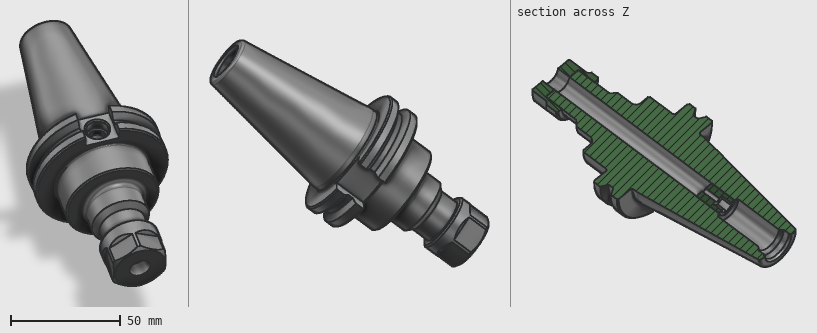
import cadquery as cq
import math


total_length = 144.5
gauge_diameter = 44.5
gauge_x = 68.2
taper_ratio = 7 / 24
taper_end_diameter = gauge_diameter - taper_ratio * gauge_x
taper_end_round = 1.2

flange_start = 71.5
flange_end = 87.3
flange_diameter = 63.4
flange_chamfer = 0.7
flange_fillet = 0.7

groove_root_diameter = 56.3
groove_root_width = 2.7
groove_center = 79.3
groove_half_angle = math.radians(30)

body_end = 103.1
body_chamfer = 0.7
shoulder_diameter = 27.5
shoulder_end = 114.8
shoulder_fillet = 3.2
neck_diameter = 22.0
neck_chamfer = (shoulder_diameter - neck_diameter) / 2

slot_width = 16.2
upper_slot_floor = 25.0
lower_slot_floor = 22.5
index_countersink_diameter = 12.0
index_hole_diameter = 10.5
index_pilot_diameter = 8.0
index_hole_depth = 5.3
index_pilot_depth = 8.7
drill_half_angle = math.radians(59)

bore_mouth_diameter = 17.8
bore_mouth_depth = 1.5
counterbore_diameter = 16.5
counterbore_end = 4.5
thread_diameter = 13.5
thread_start = 6.4
thread_end = 31.8
through_diameter = 10.0

nut_start = 126.7
nut_diameter = 28.0
nut_rear_chamfer = 0.9
nut_front_diameter = 24.0
nut_front_chamfer_length = 1.5
nut_recess_end = 137.2
nut_across_flats = 25.0
early_flat_start = 133.2
late_flat_start = 135.0
nut_flats = {
    -90: late_flat_start,
    -30: late_flat_start,
    30: late_flat_start,
    90: early_flat_start,
    150: early_flat_start,
    210: early_flat_start,
}

screw_length = 14.5
screw_chamfer = 0.22
screw_hole_diameter = 2.3
socket_across_flats = 5.9
socket_depth = 5.8

arc_share = 1 - math.sqrt(0.5)


def revolve_about_x(profile):
    """Turn a closed profile, drawn with X along the axis and Y as radius, about the X axis."""
    return profile.close().revolve(360, (0, 0, 0), (1, 0, 0))


def x_cylinder(start, end, diameter):
    return cq.Workplane("YZ", origin=(start, 0, 0)).circle(diameter / 2).extrude(end - start)


def cone_length(large_diameter, small_diameter):
    """Length of a drill-point cone between two diameters."""
    return (large_diameter - small_diameter) / 2 / math.tan(drill_half_angle)


bore_tip_end = thread_end + cone_length(thread_diameter, through_diameter)


def turned_holder():
    body_r = gauge_diameter / 2
    flange_r = flange_diameter / 2
    shoulder_r = shoulder_diameter / 2
    groove_root_half = groove_root_width / 2
    groove_depth = (flange_diameter - groove_root_diameter) / 2
    groove_top_half = groove_root_half + groove_depth * math.tan(groove_half_angle)
    taper_r = taper_end_diameter / 2

    profile = (
        cq.Workplane("XY")
        .moveTo(0, 0)
        .lineTo(0, taper_r - taper_end_round)
        .threePointArc(
            (arc_share * taper_end_round, taper_r - arc_share * taper_end_round),
            (taper_end_round, taper_r + taper_ratio / 2 * taper_end_round),
        )
        .lineTo(gauge_x, body_r)
        .lineTo(flange_start - flange_fillet, body_r)
        .threePointArc(
            (flange_start - arc_share * flange_fillet, body_r + arc_share * flange_fillet),
            (flange_start, body_r + flange_fillet),
        )
        .lineTo(flange_start, flange_r - flange_chamfer)
        .lineTo(flange_start + flange_chamfer, flange_r)
        .lineTo(groove_center - groove_top_half, flange_r)
        .lineTo(groove_center - groove_root_half, groove_root_diameter / 2)
        .lineTo(groove_center + groove_root_half, groove_root_diameter / 2)
        .lineTo(groove_center + groove_top_half, flange_r)
        .lineTo(flange_end - flange_chamfer, flange_r)
        .lineTo(flange_end, flange_r - flange_chamfer)
        .lineTo(flange_end, body_r + flange_fillet)
        .threePointArc(
            (flange_end + arc_share * flange_fillet, body_r + arc_share * flange_fillet),
            (flange_end + flange_fillet, body_r),
        )
        .lineTo(body_end - body_chamfer, body_r)
        .lineTo(body_end, body_r - body_chamfer)
        .lineTo(body_end, shoulder_r + shoulder_fillet)
        .threePointArc(
            (body_end + arc_share * shoulder_fillet, shoulder_r + arc_share * shoulder_fillet),
            (body_end + shoulder_fillet, shoulder_r),
        )
        .lineTo(shoulder_end, shoulder_r)
        .lineTo(shoulder_end + neck_chamfer, neck_diameter / 2)
        .lineTo(nut_recess_end, neck_diameter / 2)
        .lineTo(nut_recess_end, 0)
    )
    return revolve_about_x(profile)


def holder_bore():
    profile = (
        cq.Workplane("XY")
        .moveTo(0, 0)
        .lineTo(0, bore_mouth_diameter / 2)
        .lineTo(bore_mouth_depth, counterbore_diameter / 2)
        .lineTo(counterbore_end, counterbore_diameter / 2)
        .lineTo(thread_start, thread_diameter / 2)
        .lineTo(thread_end, thread_diameter / 2)
        .lineTo(bore_tip_end, through_diameter / 2)
        .lineTo(nut_recess_end, through_diameter / 2)
        .lineTo(nut_recess_end, 0)
    )
    return revolve_about_x(profile)


def drive_slot(floor, side):
    """Slot across the flange: side is +1 for the top and -1 for the bottom."""
    height = flange_diameter / 2
    return cq.Workplane("XY").box(
        flange_end - flange_start, slot_width, height, centered=(False, True, False)
    ).translate((flange_start, 0, floor if side > 0 else -floor - height))


def index_hole():
    """Countersunk, stepped blind hole in the floor of the upper slot, ending in a drill point."""
    countersink_depth = (index_countersink_diameter - index_hole_diameter) / 2
    tip_depth = index_pilot_depth + cone_length(index_pilot_diameter, 0)
    return (
        cq.Workplane("XZ")
        .moveTo(0, 0)
        .lineTo(index_countersink_diameter / 2, 0)
        .lineTo(index_hole_diameter / 2, -countersink_depth)
        .lineTo(index_hole_diameter / 2, -index_hole_depth)
        .lineTo(index_pilot_diameter / 2, -index_hole_depth)
        .lineTo(index_pilot_diameter / 2, -index_pilot_depth)
        .lineTo(0, -tip_depth)
        .close()
        .revolve(360, (0, 0, 0), (0, 1, 0))
        .translate(((flange_start + flange_end) / 2, 0, upper_slot_floor))
    )


def make_holder():
    return (
        turned_holder()
        .cut(holder_bore())
        .cut(drive_slot(upper_slot_floor, 1))
        .cut(drive_slot(lower_slot_floor, -1))
        .cut(index_hole())
    )


def flat_cutter(start, angle):
    """Material outside one wrench flat; its rear end ramps outward at 45 degrees."""
    flat_r = nut_across_flats / 2
    ramp = nut_diameter - nut_across_flats
    profile = [
        (start, flat_r),
        (total_length, flat_r),
        (total_length, flat_r + ramp),
        (start - ramp, flat_r + ramp),
    ]
    return (
        cq.Workplane("XZ")
        .polyline(profile)
        .close()
        .extrude(nut_diameter / 2, both=True)
        .rotate((0, 0, 0), (1, 0, 0), angle)
    )


def make_nut():
    nut_r = nut_diameter / 2
    profile = (
        cq.Workplane("XY")
        .moveTo(nut_start, 0)
        .lineTo(nut_start, nut_r - nut_rear_chamfer)
        .lineTo(nut_start + nut_rear_chamfer, nut_r)
        .lineTo(total_length - nut_front_chamfer_length, nut_r)
        .lineTo(total_length, nut_front_diameter / 2)
        .lineTo(total_length, 0)
    )
    nut = revolve_about_x(profile)
    for angle, start in nut_flats.items():
        nut = nut.cut(flat_cutter(start, angle))
    recess = x_cylinder(nut_start, nut_recess_end, neck_diameter)
    front_hole = x_cylinder(nut_recess_end, total_length, through_diameter)
    return nut.cut(recess).cut(front_hole)


def make_stop_screw():
    """Hollow set screw in the through bore, with its hexagon socket facing the taper end."""
    screw_end = bore_tip_end + screw_length
    blank = x_cylinder(bore_tip_end, screw_end, through_diameter).faces("<X").chamfer(screw_chamfer)
    corner_diameter = socket_across_flats / math.cos(math.pi / 6)
    socket = (
        cq.Workplane("YZ", origin=(bore_tip_end, 0, 0))
        .polygon(6, corner_diameter)
        .extrude(socket_depth)
        .rotate((0, 0, 0), (1, 0, 0), 90)
    )
    hole = x_cylinder(bore_tip_end, screw_end, screw_hole_diameter)
    return blank.cut(socket).cut(hole)


holder = make_holder()
nut = make_nut()
stop_screw = make_stop_screw()

result = cq.Compound.makeCompound([holder.val(), nut.val(), stop_screw.val()])